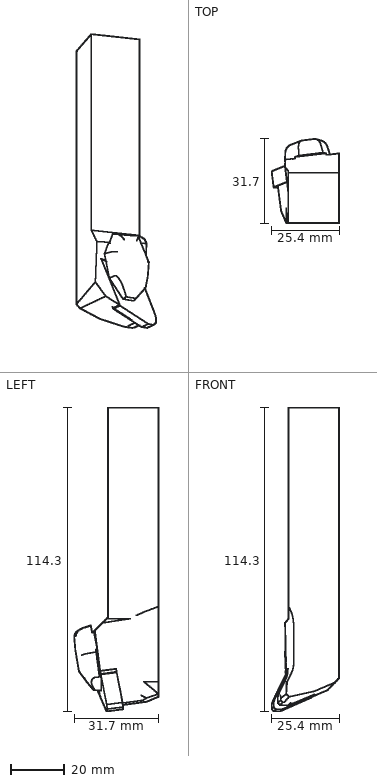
import cadquery as cq
import math


TOTAL_LENGTH = 114.3
SHANK_SIZE = 19.05
TIP_REACH = 6.38
REACH = 60.0

RAKE_Y = 20.0
RAKE_SIDE = 0.133
RAKE_BACK = 0.134
RAKE_STEP = cq.Vector(-RAKE_SIDE, 1, -RAKE_BACK)
RAKE_NORMAL = RAKE_STEP.normalized()

HEAD_LEFT = -8.0
HEAD_BACK = 34.0
RAMP_BASE_Z = 35.4
BEVEL_Z = 34.9
BEVEL_SLOPE = 1.2

WALL_X = 1.93
RUNOUT_Z = 32.8
RUNOUT_RADIUS = 12.5
RUNOUT_ANGLE = math.radians(60)
NECK_FILLET_TOP_Z = 18.1
NECK_FILLET_END = (1.2, 14.65)
TIP_OUTLINE = [(-1.9, 8.3), (-2.2, 6.9), (-2.2, 5.0), (-1.4, 4.2), (1.8, 4.2)]
HEEL_OUTLINE = [(17.65, 11.0), (24.0, 17.8)]

NOTCH_TOP = cq.Vector(-0.86, 5.4, 11.1)
NOTCH_FRONT = cq.Vector(-0.8, 0, 6.6)
NOTCH_FLOOR_SIDE = cq.Vector(-3.1, 7.5, 6.8)
NOTCH_WALL_SIDE = cq.Vector(-0.5, 0, 11.1)
NOTCH_DEPTH = 12.0

CHAMFER_START = cq.Vector(0.2, 0, 5.5)
CHAMFER_NORMAL = cq.Vector(0.22, -0.34, -1)
CORNER_LOW_POINT = cq.Vector(-3.07, 5.1, 4.9)

INSERT_THICKNESS = 6.1
INSERT_CORNERS = [(-1.0, 14.0), (-1.25, 15.2), (17.1, 22.0), (8.6, 5.2)]
INSERT_TIP = [(-3.2, 0), (-5.5, 0), (-TIP_REACH, 0.9), (-TIP_REACH, 2.6), (-5.85, 4.1)]

CLAMP_GAP = 0.6
CLAMP_HEIGHT = 6.68
CLAMP_TAPER = 10
CLAMP_EDGE_RADIUS = 3.6
CLAMP_ROUNDED_ABOVE_Z = 12.0
CLAMP_OUTLINE = [
    (3.8, 32.7), (13.2, 32.0), (15.9, 24.0), (13.5, 15.0),
    (7.5, 7.8), (3.0, 7.8), (-1.1, 13.0), (-1.5, 22.5),
]
CLAMP_NOSE_Z = 16.0
CLAMP_NOSE_LEAN = -0.6
FOOT_INSET = 0.3
FOOT_DEPTH = 0.5
UPWARD = 0.7


def rake_point(x, z, lift=0.0):
    """Point of the rake plane at (x, z), lifted along the rake normal."""
    return cq.Vector(x, RAKE_Y + RAKE_SIDE * x + RAKE_BACK * z, z) + RAKE_NORMAL * lift


def rake_prism(outline, lift, height, taper=0):
    """Prism that stands on the rake plane, its base lifted by the given amount."""
    base = cq.Wire.makePolygon([rake_point(x, z, lift) for x, z in outline], close=True)
    return cq.Workplane(cq.Solid.extrudeLinear(base, [], RAKE_NORMAL * height, taper))


def half_space(point, normal):
    """Large block on the side of a plane that the normal points to."""
    plane = cq.Plane(origin=point, normal=normal)
    return cq.Workplane(plane).rect(2 * REACH, 2 * REACH).extrude(REACH)


def half_space_through(first, second, third):
    """Half space bounded by the plane through three points."""
    return half_space(first, (second - first).cross(third - first))


def ramp_space():
    """Space above the 45 degree ramp and behind the shank."""
    behind_shank = half_space((0, SHANK_SIZE, RAMP_BASE_Z), (0, 1, 0))
    return half_space((0, SHANK_SIZE, RAMP_BASE_Z), (0, 1, 1)).intersect(behind_shank)


def bevel_space():
    """Space above the bevel and to the left of the shank."""
    left_of_shank = half_space((0, 0, BEVEL_Z), (-1, 0, 0))
    return half_space((0, 0, BEVEL_Z), (-BEVEL_SLOPE, 0, 1)).intersect(left_of_shank)


def rake_space():
    """Space above the rake plane and behind the shank."""
    behind_shank = half_space((0, SHANK_SIZE, 0), (0, 1, 0))
    return half_space(rake_point(0, 0), RAKE_NORMAL).intersect(behind_shank)


def runout_point(angle):
    """Point of the cutter run-out arc, which is tangent to the head wall at angle 0."""
    x = WALL_X - RUNOUT_RADIUS * (1 - math.cos(angle))
    z = RUNOUT_Z + RUNOUT_RADIUS * math.sin(angle)
    return x, z


def flank_space():
    """Space left of and below the head outline, swept along the rake normal."""
    runout_end = runout_point(RUNOUT_ANGLE)
    profile = (
        cq.Workplane("XZ")
        .moveTo(-REACH, runout_end[1])
        .lineTo(*runout_end)
        .threePointArc(runout_point(RUNOUT_ANGLE / 2), runout_point(0))
        .lineTo(WALL_X, NECK_FILLET_TOP_Z)
        .tangentArcPoint(NECK_FILLET_END, relative=False)
    )
    for point in TIP_OUTLINE + HEEL_OUTLINE:
        profile = profile.lineTo(*point)
    heel_z = HEEL_OUTLINE[-1][1]
    profile = profile.lineTo(REACH, heel_z).lineTo(REACH, -REACH).lineTo(-REACH, -REACH).close()
    start = profile.wire().val().translate(RAKE_STEP * -1)
    return cq.Workplane(cq.Solid.extrudeLinear(start, [], RAKE_STEP * REACH))


def notch_space():
    """Space of the relief notch, between its floor and its wall."""
    floor = half_space_through(NOTCH_TOP, NOTCH_FLOOR_SIDE, NOTCH_FRONT)
    wall = half_space_through(NOTCH_TOP, NOTCH_FRONT, NOTCH_WALL_SIDE)
    limit = cq.Workplane().box(REACH, NOTCH_DEPTH, NOTCH_TOP.z, centered=(True, False, False))
    return floor.intersect(wall).intersect(limit)


def build_clamp():
    """Tapered clamp with a sloping nose and rounded top edges; its foot is sunk into the head."""
    body = rake_prism(CLAMP_OUTLINE, -FOOT_DEPTH, FOOT_DEPTH + CLAMP_HEIGHT, CLAMP_TAPER)
    nose_point = rake_point(0, CLAMP_NOSE_Z, CLAMP_HEIGHT)
    body = body.cut(half_space(nose_point, RAKE_NORMAL + cq.Vector(0, 0, CLAMP_NOSE_LEAN)))
    top_faces = body.faces().filter(lambda face: face.normalAt().dot(RAKE_NORMAL) > UPWARD)
    rounded = top_faces.edges().filter(lambda edge: edge.Center().z > CLAMP_ROUNDED_ABOVE_Z)
    body = rounded.fillet(CLAMP_EDGE_RADIUS)
    under_clamp = half_space(rake_point(0, 0, CLAMP_GAP), RAKE_NORMAL * -1)
    beside_foot = flank_space().translate((FOOT_INSET, 0, 0))
    return body.cut(under_clamp.intersect(ramp_space())).cut(under_clamp.intersect(beside_foot))


def build_insert():
    return rake_prism(INSERT_CORNERS + INSERT_TIP, 0, -INSERT_THICKNESS)


def build_holder():
    shank = cq.Workplane().box(SHANK_SIZE, SHANK_SIZE, TOTAL_LENGTH, centered=False)
    head_width = SHANK_SIZE - HEAD_LEFT
    head = cq.Workplane(origin=(HEAD_LEFT, 0, 0)).box(head_width, HEAD_BACK, RAMP_BASE_Z, centered=False)
    body = shank.union(head.cut(bevel_space()))
    body = body.cut(ramp_space()).cut(rake_space()).cut(flank_space()).cut(notch_space())
    body = body.cut(half_space(CHAMFER_START, CHAMFER_NORMAL))
    body = body.cut(half_space_through(NOTCH_FRONT, CORNER_LOW_POINT, CHAMFER_START))
    return body.union(build_clamp())


insert = build_insert()
holder = build_holder().cut(insert)

result = cq.Compound.makeCompound([holder.val(), insert.val()])